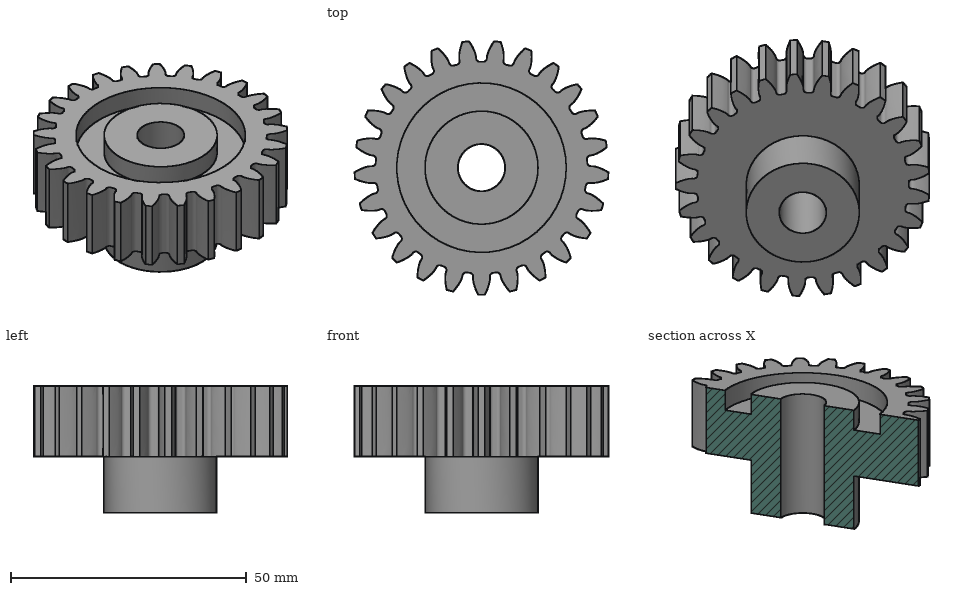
import cadquery as cq
import math

OVERALL_LENGTH = 53.95
TOOTH_COUNT = 25
PRESSURE_ANGLE = math.radians(20)
ADDENDUM_FACTOR = 1.0
DEDENDUM_FACTOR = 1.25
FILLET_FACTOR = 0.38
FLANK_POINTS = 6

TOTAL_HEIGHT = 27.0
FACE_WIDTH = 15.0
HUB_DIAMETER = 24.0
BORE_DIAMETER = 10.0
RECESS_DIAMETER = 36.0
RECESS_DEPTH = 4.5


def involute(angle):
    """Polar angle swept by an involute up to the given pressure angle."""
    return math.tan(angle) - angle


PITCH_ANGLE = 2 * math.pi / TOOTH_COUNT
TIP_TO_PITCH = 1 + 2 * ADDENDUM_FACTOR / TOOTH_COUNT
TIP_PRESSURE_ANGLE = math.acos(math.cos(PRESSURE_ANGLE) / TIP_TO_PITCH)
BASE_HALF_ANGLE = PITCH_ANGLE / 4 + involute(PRESSURE_ANGLE)
TIP_HALF_ANGLE = BASE_HALF_ANGLE - involute(TIP_PRESSURE_ANGLE)

TIP_RADIUS = OVERALL_LENGTH / 2 / math.cos(PITCH_ANGLE / 4 - TIP_HALF_ANGLE)
PITCH_RADIUS = TIP_RADIUS / TIP_TO_PITCH
MODULE = 2 * PITCH_RADIUS / TOOTH_COUNT
BASE_RADIUS = PITCH_RADIUS * math.cos(PRESSURE_ANGLE)
ROOT_RADIUS = PITCH_RADIUS - DEDENDUM_FACTOR * MODULE
FILLET_RADIUS = FILLET_FACTOR * MODULE

FILLET_CENTRE_RADIUS = ROOT_RADIUS + FILLET_RADIUS
FILLET_ANGLE = math.asin(FILLET_RADIUS / FILLET_CENTRE_RADIUS)
FILLET_TOP_RADIUS = FILLET_CENTRE_RADIUS * math.cos(FILLET_ANGLE)
ROOT_HALF_ANGLE = BASE_HALF_ANGLE + FILLET_ANGLE


def polar(radius, angle):
    return (radius * math.cos(angle), radius * math.sin(angle))


def flank_points(centre, side):
    """Involute from the base circle to the tip; side is -1 or 1 about the tooth centre."""
    points = []
    for i in range(FLANK_POINTS):
        roll = math.tan(TIP_PRESSURE_ANGLE) * i / (FLANK_POINTS - 1)
        pressure = math.atan(roll)
        half_angle = BASE_HALF_ANGLE - involute(pressure)
        points.append(polar(BASE_RADIUS / math.cos(pressure), centre + side * half_angle))
    return points


def fillet_middle(centre, side):
    """Middle of the root fillet arc on one side of a tooth."""
    centre_angle = centre + side * ROOT_HALF_ANGLE
    x, y = polar(FILLET_CENTRE_RADIUS, centre_angle)
    direction = centre_angle + math.pi + side * (math.pi / 2 - FILLET_ANGLE) / 2
    dx, dy = polar(FILLET_RADIUS, direction)
    return (x + dx, y + dy)


def add_tooth(outline, centre):
    """Continue the outline over one tooth and along the root to the next one."""
    rising = flank_points(centre, -1)
    falling = flank_points(centre, 1)[::-1]
    outline = outline.threePointArc(
        fillet_middle(centre, -1), polar(FILLET_TOP_RADIUS, centre - BASE_HALF_ANGLE)
    )
    outline = outline.lineTo(*rising[0]).spline(rising[1:], includeCurrent=True)
    outline = outline.threePointArc(polar(TIP_RADIUS, centre), falling[0])
    outline = outline.spline(falling[1:], includeCurrent=True)
    outline = outline.lineTo(*polar(FILLET_TOP_RADIUS, centre + BASE_HALF_ANGLE))
    outline = outline.threePointArc(
        fillet_middle(centre, 1), polar(ROOT_RADIUS, centre + ROOT_HALF_ANGLE)
    )
    return outline.threePointArc(
        polar(ROOT_RADIUS, centre + PITCH_ANGLE / 2),
        polar(ROOT_RADIUS, centre + PITCH_ANGLE - ROOT_HALF_ANGLE),
    )


def toothed_disc():
    first = -math.pi / 2
    outline = cq.Workplane("XY").moveTo(*polar(ROOT_RADIUS, first - ROOT_HALF_ANGLE))
    for i in range(TOOTH_COUNT):
        outline = add_tooth(outline, first + i * PITCH_ANGLE)
    return outline.close().extrude(FACE_WIDTH)


def cylinder(diameter, bottom, height):
    return cq.Workplane("XY").workplane(offset=bottom).circle(diameter / 2).extrude(height)


HUB_BOTTOM = FACE_WIDTH - TOTAL_HEIGHT
recess = cylinder(RECESS_DIAMETER, FACE_WIDTH - RECESS_DEPTH, RECESS_DEPTH)
hub = cylinder(HUB_DIAMETER, HUB_BOTTOM, TOTAL_HEIGHT)
bore = cylinder(BORE_DIAMETER, HUB_BOTTOM, TOTAL_HEIGHT)

result = toothed_disc().cut(recess).union(hub).cut(bore)